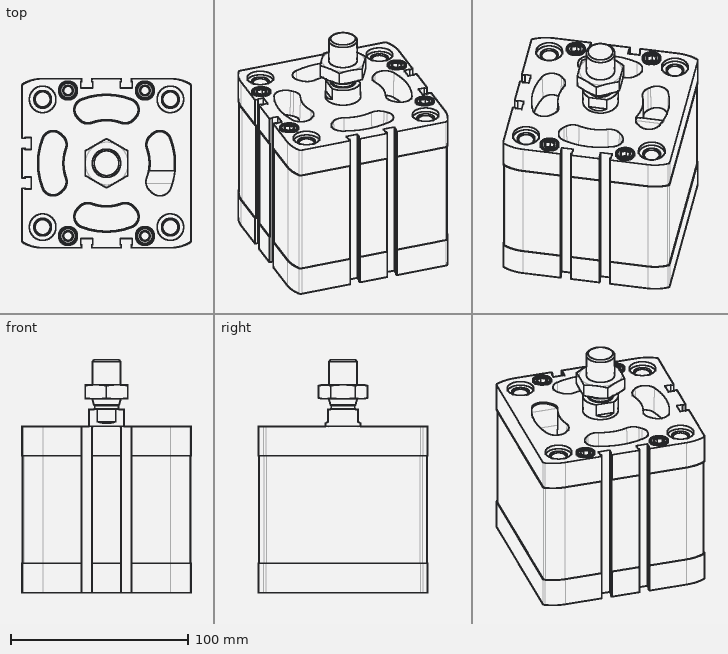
import cadquery as cq
import math

CAP_WIDTH = 95.5
TUBE_INSET = 0.4
HOUSING_HEIGHT = 93.8
CAP_HEIGHT = 16.5
FLANK_ARC_RADIUS = 23.0
FLANK_ARC_START = 35.9
CORNER_FILLET = 1.6

SLOT_OFFSET = 11.2
SLOT_OPENING = 5.7
SLOT_INNER_WIDTH = 6.6
SLOT_LIP = 1.8
SLOT_CHAMFER = 0.3
SLOT_DEPTH = 5.3

MOUNT_OFFSET = 36.0
MOUNT_BORE_DIA = 8.5
MOUNT_CHAMFER_DIA = 10.0
MOUNT_RECESS_DIA = 15.0
MOUNT_RECESS_DEPTH = 2.4

SCREW_X = 21.7
SCREW_Y = 41.0
SCREW_RECESS_DIA = 10.6
SCREW_HEAD_DIA = 10.0
SCREW_FACE_DIA = 8.4
SCREW_GAP_DEPTH = 1.6
SOCKET_FLATS = 5.0
SOCKET_ENTRY_DIA = 5.8
SOCKET_DEPTH = 4.0

POCKET_INNER_RADIUS = 24.0
POCKET_OUTER_REACH = 38.9
POCKET_END_RADIUS = 6.6
POCKET_INNER_END_Y = 10.5
POCKET_OUTER_END_X = 30.1
POCKET_OUTER_END_Y = 11.8
POCKET_DEPTH = 15.8
POCKET_DRAFT = 2.0

BOSS_RADIUS = 6.8
BOSS_Y = -11.2
BOSS_TOP_DEPTH = 0.9

TOTAL_HEIGHT = 131.4
ROD_DIA = 20.0
ROD_SHOULDER_Z = 103.4
ROD_SEAT_Z = HOUSING_HEIGHT - CAP_HEIGHT
NECK_DIA = 13.5
NECK_END_DIA = 14.3
NECK_TOP_Z = 105.9
THREAD_DIA = 16.0
THREAD_START_Z = 109.0
THREAD_CHAMFER = 1.0
WRENCH_FLATS = 17.1
WRENCH_FLAT_Z = 96.5
WRENCH_RUNOUT = 0.9

NUT_FLATS = 24.0
NUT_BOTTOM_Z = 109.3
NUT_HEIGHT = 7.9
NUT_CHAMFER_ANGLE = 15.0

HEX_CORNER_RATIO = 1 / math.cos(math.radians(30))


def cap_outline(inset, z):
    """Square outline with long corner arcs, offset inwards by inset."""
    half = CAP_WIDTH / 2 - inset
    radius = FLANK_ARC_RADIUS - inset
    start = FLANK_ARC_START

    def arc_point(x):
        return x, half - radius + math.sqrt(radius ** 2 - (x - start) ** 2)

    end_x, end_y = arc_point(half)
    mid_x, mid_y = arc_point((start + half) / 2)
    return (
        cq.Workplane("XY", origin=(0, 0, z))
        .moveTo(-start, half)
        .lineTo(start, half)
        .threePointArc((mid_x, mid_y), (end_x, end_y))
        .lineTo(end_x, -end_y)
        .threePointArc((mid_x, -mid_y), (start, -half))
        .lineTo(-start, -half)
        .threePointArc((-mid_x, -mid_y), (-end_x, -end_y))
        .lineTo(-end_x, end_y)
        .threePointArc((-mid_x, mid_y), (-start, half))
        .close()
    )


def block(inset, z, height):
    """Prism of the outline with its four sharp edges rounded."""
    prism = cap_outline(inset, z).extrude(height)
    half = CAP_WIDTH / 2 - inset
    corner_edges = prism.edges("|Z").filter(lambda edge: abs(edge.Center().x) > half - 0.01)
    return prism.newObject(corner_edges.vals()).fillet(CORNER_FILLET)


def t_slot(offset, inset, z, height):
    """T-slot cutter that opens, with chamfered edges, on a -Y face offset inwards by inset."""
    side = -CAP_WIDTH / 2
    face = side + inset
    ledge = side + SLOT_LIP
    floor = side + SLOT_DEPTH
    half_opening = SLOT_OPENING / 2
    half_inner = SLOT_INNER_WIDTH / 2
    right_half = [
        (half_opening + SLOT_CHAMFER, face),
        (half_opening, face + SLOT_CHAMFER),
        (half_opening, ledge),
        (half_inner, ledge),
        (half_inner, floor),
    ]
    left_half = [(-x, y) for x, y in reversed(right_half)]
    return (
        cq.Workplane("XY", origin=(offset, 0, z))
        .polyline(right_half + left_half)
        .close()
        .extrude(height)
    )


def section(inset, z, height):
    """Length of the housing with slots on the -Y, -X and +Y sides; the +X side stays plain."""
    body = block(inset, z, height)
    for angle in (0, -90, 180):
        for offset in (-SLOT_OFFSET, SLOT_OFFSET):
            body = body.cut(t_slot(offset, inset, z, height).rotate((0, 0, 0), (0, 0, 1), angle))
    return body


def revolve(points):
    """Solid of revolution about Z from (radius, z) points."""
    return cq.Workplane("XZ").polyline(points).close().revolve(360, (0, 0, 0), (0, 1, 0))


def hexagon(flats, z, height):
    """Hexagonal prism with corners on the Y axis."""
    return (
        cq.Workplane("XY", origin=(0, 0, z))
        .polygon(6, flats * HEX_CORNER_RATIO)
        .extrude(height)
        .rotate((0, 0, 0), (0, 0, 1), 30)
    )


def mounting_hole():
    """Through hole with a chamfer under a round recess."""
    bore = MOUNT_BORE_DIA / 2
    chamfer = MOUNT_CHAMFER_DIA / 2
    recess = MOUNT_RECESS_DIA / 2
    floor_z = HOUSING_HEIGHT - MOUNT_RECESS_DEPTH
    return revolve([
        (0, 0),
        (bore, 0),
        (bore, floor_z - (chamfer - bore)),
        (chamfer, floor_z),
        (recess, floor_z),
        (recess, HOUSING_HEIGHT),
        (0, HOUSING_HEIGHT),
    ])


def screw_cut():
    """Groove around a chamfered screw head and its hex socket with conical floor."""
    recess = SCREW_RECESS_DIA / 2
    head = SCREW_HEAD_DIA / 2
    face = SCREW_FACE_DIA / 2
    gap_z = HOUSING_HEIGHT - SCREW_GAP_DEPTH
    groove = revolve([
        (face, HOUSING_HEIGHT),
        (recess, HOUSING_HEIGHT),
        (recess, gap_z),
        (head, gap_z),
        (head, HOUSING_HEIGHT - (head - face)),
    ])
    socket_radius = SOCKET_FLATS / 2
    floor_z = HOUSING_HEIGHT - SOCKET_DEPTH
    socket = hexagon(SOCKET_FLATS, floor_z, SOCKET_DEPTH)
    cone = revolve([(0, floor_z), (socket_radius, floor_z), (0, floor_z - socket_radius / 2)])
    entry_radius = SOCKET_ENTRY_DIA / 2
    entry = revolve([
        (0, HOUSING_HEIGHT),
        (entry_radius, HOUSING_HEIGHT),
        (0, HOUSING_HEIGHT - entry_radius),
    ])
    return groove.union(socket).union(cone).union(entry)


def kidney_pocket():
    """Drafted kidney pocket on the +X side."""
    end_radius = POCKET_END_RADIUS
    inner_to_end = POCKET_INNER_RADIUS + end_radius
    inner_end = cq.Vector(math.sqrt(inner_to_end ** 2 - POCKET_INNER_END_Y ** 2), POCKET_INNER_END_Y)
    outer_end = cq.Vector(POCKET_OUTER_END_X, POCKET_OUTER_END_Y)

    rise = POCKET_OUTER_REACH - end_radius - outer_end.x
    outer_radius = (rise ** 2 + outer_end.y ** 2) / (2 * rise) + end_radius
    outer_center = cq.Vector(POCKET_OUTER_REACH - outer_radius, 0)

    to_inner_wall = inner_end.normalized() * -1
    to_outer_wall = (outer_end - outer_center).normalized()
    along_flat = (outer_end - inner_end).normalized()
    to_flat = cq.Vector(-along_flat.y, along_flat.x)
    inner_middle = (to_inner_wall + to_flat).normalized()
    outer_middle = (to_outer_wall + to_flat).normalized()

    end_points = [
        inner_end + to_inner_wall * end_radius,
        inner_end + inner_middle * end_radius,
        inner_end + to_flat * end_radius,
        outer_end + to_flat * end_radius,
        outer_end + outer_middle * end_radius,
        outer_end + to_outer_wall * end_radius,
    ]
    upper = [(point.x, point.y) for point in end_points]
    lower = [(point.x, -point.y) for point in end_points]
    return (
        cq.Workplane("XY", origin=(0, 0, HOUSING_HEIGHT))
        .moveTo(*lower[0])
        .threePointArc((POCKET_INNER_RADIUS, 0), upper[0])
        .threePointArc(upper[1], upper[2])
        .lineTo(*upper[3])
        .threePointArc(upper[4], upper[5])
        .threePointArc((POCKET_OUTER_REACH, 0), lower[5])
        .threePointArc(lower[4], lower[3])
        .lineTo(*lower[2])
        .threePointArc(lower[1], lower[0])
        .close()
        .extrude(-POCKET_DEPTH, taper=POCKET_DRAFT)
    )


def port_boss():
    """Round-shouldered block, flat towards -Y, that stays in the +X pocket."""
    crest_z = HOUSING_HEIGHT - BOSS_TOP_DEPTH
    floor_z = HOUSING_HEIGHT - POCKET_DEPTH
    half = CAP_WIDTH / 2
    diagonal = BOSS_RADIUS * math.sin(math.radians(45))
    center_z = crest_z - BOSS_RADIUS
    return (
        cq.Workplane("YZ")
        .moveTo(-half, floor_z)
        .lineTo(-half, crest_z)
        .lineTo(BOSS_Y, crest_z)
        .threePointArc((BOSS_Y + diagonal, center_z + diagonal), (BOSS_Y + BOSS_RADIUS, center_z))
        .lineTo(BOSS_Y + BOSS_RADIUS, floor_z)
        .close()
        .extrude(half)
    )


def make_housing():
    tube_height = HOUSING_HEIGHT - 2 * CAP_HEIGHT
    body = section(TUBE_INSET, CAP_HEIGHT, tube_height)
    for z in (0, HOUSING_HEIGHT - CAP_HEIGHT):
        body = body.union(section(0, z, CAP_HEIGHT))

    for side_x in (-1, 1):
        for side_y in (-1, 1):
            body = body.cut(mounting_hole().translate((side_x * MOUNT_OFFSET, side_y * MOUNT_OFFSET, 0)))
            body = body.cut(screw_cut().translate((side_x * SCREW_X, side_y * SCREW_Y, 0)))

    body = body.cut(kidney_pocket().cut(port_boss()))
    for angle in (90, 180, 270):
        body = body.cut(kidney_pocket().rotate((0, 0, 0), (0, 0, 1), angle))

    rod_seat = cq.Workplane("XY", origin=(0, 0, ROD_SEAT_Z)).circle(ROD_DIA / 2).extrude(CAP_HEIGHT)
    return body.cut(rod_seat)


def wrench_flat():
    """Cutter for the flat on the -Y side of the rod, with a sloped lower end."""
    flat_y = -WRENCH_FLATS / 2
    rim_y = -ROD_DIA / 2
    slope = WRENCH_RUNOUT / (flat_y - rim_y)
    clear_y = 2 * rim_y
    return (
        cq.Workplane("YZ")
        .moveTo(flat_y, ROD_SHOULDER_Z)
        .lineTo(flat_y, WRENCH_FLAT_Z)
        .lineTo(clear_y, WRENCH_FLAT_Z - slope * (flat_y - clear_y))
        .lineTo(clear_y, ROD_SHOULDER_Z)
        .close()
        .extrude(ROD_DIA / 2, both=True)
    )


def make_rod():
    thread = THREAD_DIA / 2
    neck = NECK_DIA / 2
    neck_end = NECK_END_DIA / 2
    rod = revolve([
        (0, ROD_SEAT_Z),
        (ROD_DIA / 2, ROD_SEAT_Z),
        (ROD_DIA / 2, ROD_SHOULDER_Z),
        (neck_end, ROD_SHOULDER_Z),
        (neck, ROD_SHOULDER_Z + neck_end - neck),
        (neck, NECK_TOP_Z - (neck_end - neck)),
        (neck_end, NECK_TOP_Z),
        (thread, THREAD_START_Z),
        (thread, TOTAL_HEIGHT - THREAD_CHAMFER),
        (thread - THREAD_CHAMFER, TOTAL_HEIGHT),
        (0, TOTAL_HEIGHT),
    ])
    for angle in (0, 180):
        rod = rod.cut(wrench_flat().rotate((0, 0, 0), (0, 0, 1), angle))
    return rod


def make_nut():
    """Hex nut whose corners are chamfered on both faces."""
    flat_radius = NUT_FLATS / 2
    top_z = NUT_BOTTOM_Z + NUT_HEIGHT
    outer = flat_radius * HEX_CORNER_RATIO + 1.3
    drop = (outer - flat_radius) * math.tan(math.radians(NUT_CHAMFER_ANGLE))
    envelope = revolve([
        (0, NUT_BOTTOM_Z),
        (flat_radius, NUT_BOTTOM_Z),
        (outer, NUT_BOTTOM_Z + drop),
        (outer, top_z - drop),
        (flat_radius, top_z),
        (0, top_z),
    ])
    thread_hole = cq.Workplane("XY", origin=(0, 0, NUT_BOTTOM_Z)).circle(THREAD_DIA / 2).extrude(NUT_HEIGHT)
    return hexagon(NUT_FLATS, NUT_BOTTOM_Z, NUT_HEIGHT).intersect(envelope).cut(thread_hole)


housing = make_housing()
rod = make_rod()
nut = make_nut()
result = cq.Compound.makeCompound([housing.val(), rod.val(), nut.val()])